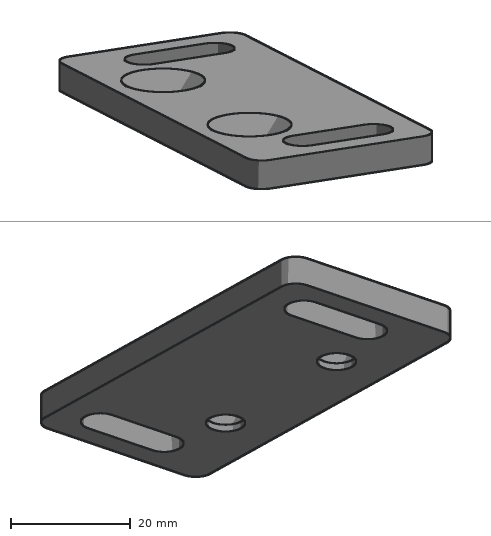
import cadquery as cq

plate_length = 70.0
plate_width = 35.0
plate_thickness = 5.0
corner_radius = 3.0

slot_width = 6.5
slot_length = 20.0
slot_spacing = 55.0
slot_center_y = 2.5

hole_diameter = 6.5
countersink_diameter = 14.0
countersink_angle = 90.0
hole_spacing = 30.0
hole_center_y = -7.5


def mirrored_pair(spacing, y):
    """Two points placed symmetrically about the YZ plane."""
    return [(-spacing / 2, y), (spacing / 2, y)]


def make_plate():
    """Flat rectangular plate with rounded vertical corners."""
    return (
        cq.Workplane("XY")
        .box(plate_length, plate_width, plate_thickness, centered=(True, True, False))
        .edges("|Z")
        .fillet(corner_radius)
    )


def cut_slots(plate):
    """Cut the two round-ended slots through the plate."""
    return (
        plate.faces(">Z")
        .workplane(origin=(0, 0, plate_thickness))
        .pushPoints(mirrored_pair(slot_spacing, slot_center_y))
        .slot2D(slot_length, slot_width, angle=90)
        .cutThruAll()
    )


def cut_screw_holes(plate):
    """Drill the two through holes, countersunk from the top face."""
    return (
        plate.faces(">Z")
        .workplane(origin=(0, 0, plate_thickness))
        .pushPoints(mirrored_pair(hole_spacing, hole_center_y))
        .cskHole(hole_diameter, countersink_diameter, countersink_angle)
    )


result = cut_screw_holes(cut_slots(make_plate()))